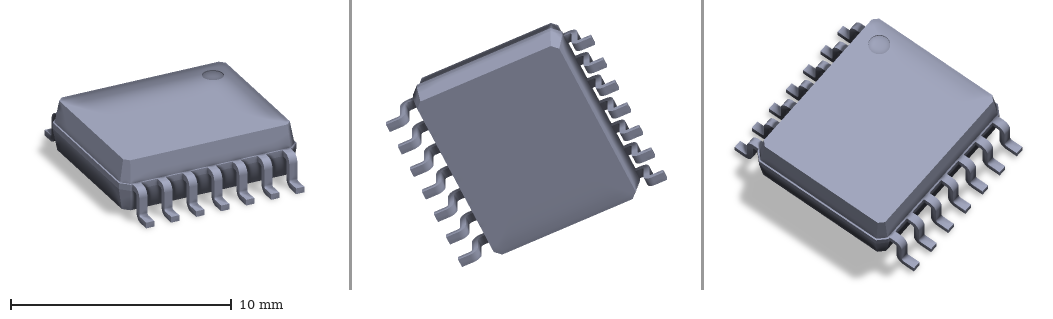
import cadquery as cq
import math

overall_span = 10.3
overall_height = 2.7
body_width = 7.52
body_length = 9.0
standoff = 0.2

band_thickness = 0.31
corner_chamfer = 0.4
draft_angle = 10.0
upper_step = 0.08

leads_per_side = 7
lead_pitch = 1.27
lead_width = 0.41
lead_thickness = 0.29
shank_outer_x = 4.45
inner_bend_radius = 0.11
lead_embed = 0.52

mark_diameter = 1.0
mark_depth = 0.05
mark_x = -2.41
mark_y = 3.15

band_middle = (overall_height + standoff) / 2
band_bottom = band_middle - band_thickness / 2
band_top = band_middle + band_thickness / 2
outer_bend_radius = inner_bend_radius + lead_thickness


def chamfered_block(z_start, inset, height, draft=0.0):
    """Body outline, moved inward by inset, extruded up (or down if height is negative)."""
    chamfer = corner_chamfer - (2 - math.sqrt(2)) * inset
    half_x = body_width / 2 - inset
    half_y = body_length / 2 - inset
    outline = [
        (half_x - chamfer, -half_y),
        (half_x, -half_y + chamfer),
        (half_x, half_y - chamfer),
        (half_x - chamfer, half_y),
        (-half_x + chamfer, half_y),
        (-half_x, half_y - chamfer),
        (-half_x, -half_y + chamfer),
        (-half_x + chamfer, -half_y),
    ]
    base = cq.Workplane("XY", origin=(0, 0, z_start)).polyline(outline).close()
    return base.extrude(height, taper=draft)


def make_body():
    band = chamfered_block(band_bottom, 0, band_thickness)
    upper = chamfered_block(band_top, upper_step, overall_height - band_top, draft_angle)
    lower = chamfered_block(band_bottom, 0, standoff - band_bottom, draft_angle)
    return band.union(upper).union(lower)


def make_lead():
    """Gull-wing lead on the +X side, centred on Y = 0."""
    root_x = body_width / 2 - lead_embed
    tip_x = overall_span / 2
    shank_inner_x = shank_outer_x - lead_thickness
    shoulder_bottom = band_top - lead_thickness
    profile = (
        cq.Workplane("XZ", origin=(0, lead_width / 2, 0))
        .moveTo(root_x, band_top)
        .lineTo(shank_outer_x - outer_bend_radius, band_top)
        .radiusArc((shank_outer_x, band_top - outer_bend_radius), outer_bend_radius)
        .lineTo(shank_outer_x, lead_thickness + inner_bend_radius)
        .radiusArc((shank_outer_x + inner_bend_radius, lead_thickness), -inner_bend_radius)
        .lineTo(tip_x, lead_thickness)
        .lineTo(tip_x, 0)
        .lineTo(shank_inner_x + outer_bend_radius, 0)
        .radiusArc((shank_inner_x, outer_bend_radius), outer_bend_radius)
        .lineTo(shank_inner_x, shoulder_bottom - inner_bend_radius)
        .radiusArc((shank_inner_x - inner_bend_radius, shoulder_bottom), -inner_bend_radius)
        .lineTo(root_x, shoulder_bottom)
        .close()
    )
    return profile.extrude(lead_width)


def make_pin_mark():
    """Shallow round recess tool for the top face."""
    floor = overall_height - mark_depth
    return cq.Workplane("XY", origin=(mark_x, mark_y, floor)).circle(mark_diameter / 2).extrude(mark_depth)


result = make_body().cut(make_pin_mark())

right_lead = make_lead()
left_lead = right_lead.mirror("YZ")
for index in range(leads_per_side):
    lead_y = (index - (leads_per_side - 1) / 2) * lead_pitch
    for lead in (left_lead, right_lead):
        result = result.union(lead.translate((0, lead_y, 0)))